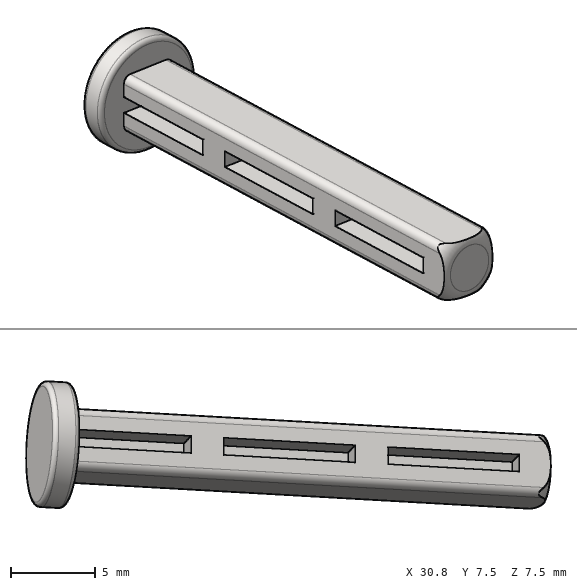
import cadquery as cq

TOTAL_LENGTH = 30.82
HEAD_DIAMETER = 7.5
HEAD_THICKNESS = 1.65
HEAD_EDGE_RADIUS = 0.3

SHANK_WIDTH = 3.8
SHANK_CORNER_RADIUS = 0.5

TIP_DIAMETER = 5.0
TIP_RADIUS = 1.0

SLOT_COUNT = 3
SLOT_LENGTH = 8.0
SLOT_HEIGHT = 1.05
SLOT_DEPTH = SHANK_WIDTH / 2
SLOT_PITCH = 10.0
TIP_TO_LAST_SLOT = 2.0


def make_head():
    """Round head disc with both rims rounded."""
    disc = cq.Workplane("YZ").circle(HEAD_DIAMETER / 2).extrude(HEAD_THICKNESS)
    return disc.edges().fillet(HEAD_EDGE_RADIUS)


def make_shank():
    """Rounded square bar trimmed by a cylinder with a rounded tip."""
    bar = (
        cq.Workplane("YZ")
        .rect(SHANK_WIDTH, SHANK_WIDTH)
        .extrude(TOTAL_LENGTH)
        .edges("|X")
        .fillet(SHANK_CORNER_RADIUS)
    )
    envelope = (
        cq.Workplane("YZ")
        .circle(TIP_DIAMETER / 2)
        .extrude(TOTAL_LENGTH)
        .faces(">X")
        .edges()
        .fillet(TIP_RADIUS)
    )
    return bar.intersect(envelope)


def make_slot(end_x):
    """Cutter for one slot ending at end_x, stopped short at the underside of the head."""
    start_x = max(end_x - SLOT_LENGTH, HEAD_THICKNESS)
    cutter = cq.Workplane("XY").box(
        end_x - start_x, SLOT_DEPTH, SLOT_HEIGHT, centered=(False, False, True)
    )
    return cutter.translate((start_x, -SHANK_WIDTH / 2, 0))


shank = make_shank()
for index in range(SLOT_COUNT):
    slot_end = TOTAL_LENGTH - TIP_TO_LAST_SLOT - index * SLOT_PITCH
    shank = shank.cut(make_slot(slot_end))

result = make_head().union(shank)